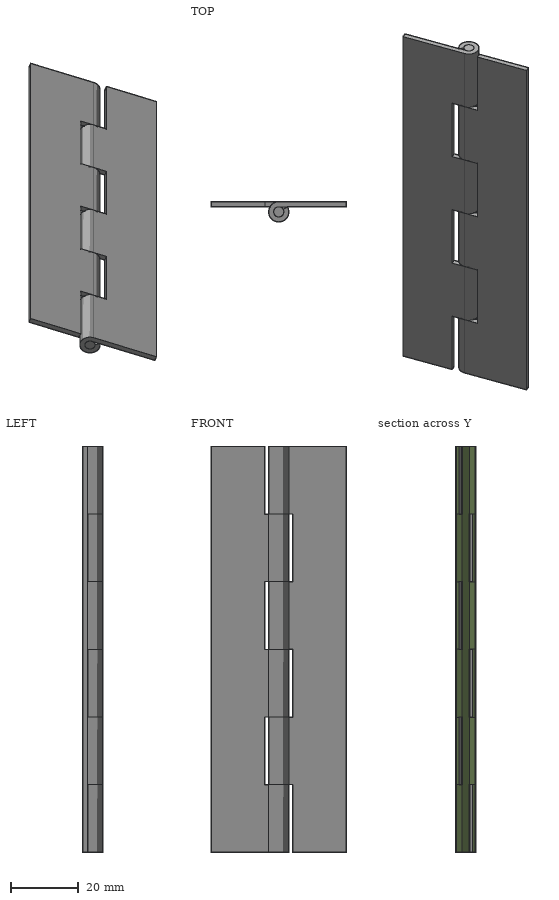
import cadquery as cq
import math

length = 120.0
open_width = 40.0
barrel_diameter = 6.0
sheet = 1.5
knuckle_count = 6
knuckle_clearance = 1.1
curl_end_angle = 29.5

barrel_radius = barrel_diameter / 2
pin_radius = barrel_radius - sheet
half_width = open_width / 2
knuckle_length = length / knuckle_count
leaf_inner_edge = barrel_radius + knuckle_clearance
sheet_underside = barrel_radius - sheet


def on_circle(radius, degrees):
    """Point on a circle around the hinge axis."""
    angle = math.radians(degrees)
    return (radius * math.cos(angle), radius * math.sin(angle))


def make_plate():
    """Flat full-length part of the right-hand leaf, clear of the barrel."""
    return (
        cq.Workplane("XY")
        .moveTo(leaf_inner_edge, sheet_underside)
        .lineTo(half_width, sheet_underside)
        .lineTo(half_width, barrel_radius)
        .lineTo(leaf_inner_edge, barrel_radius)
        .close()
        .extrude(length)
    )


def make_knuckle(index):
    """Sheet tongue rolled around the pin; index counts up from the bottom."""
    return (
        cq.Workplane("XY", origin=(0, 0, index * knuckle_length))
        .moveTo(leaf_inner_edge, barrel_radius)
        .lineTo(0, barrel_radius)
        .threePointArc(on_circle(barrel_radius, 225), on_circle(barrel_radius, curl_end_angle))
        .lineTo(*on_circle(pin_radius, curl_end_angle))
        .threePointArc(on_circle(pin_radius, 225), (0, pin_radius))
        .lineTo(leaf_inner_edge, sheet_underside)
        .close()
        .extrude(knuckle_length)
    )


def make_leaf(first_knuckle):
    """Right-hand leaf that carries every second knuckle."""
    leaf = make_plate()
    for index in range(first_knuckle, knuckle_count, 2):
        leaf = leaf.union(make_knuckle(index))
    return leaf


def make_pin():
    """Plain pin filling the rolled knuckles from end to end."""
    return cq.Workplane("XY").circle(pin_radius).extrude(length)


right_leaf = make_leaf(first_knuckle=1)
left_leaf = make_leaf(first_knuckle=0).mirror("YZ")
pin = make_pin()

result = cq.Compound.makeCompound([right_leaf.val(), left_leaf.val(), pin.val()])